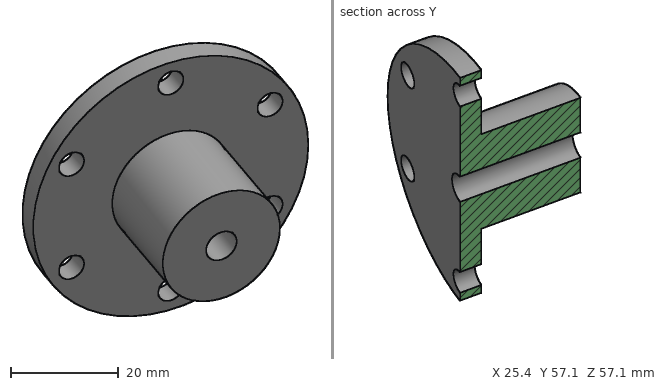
import cadquery as cq

flange_diameter = 57.15
flange_thickness = 4.5
hub_diameter = 24.35
total_length = 25.4
bore_diameter = 6.35
bolt_hole_diameter = 5.2
bolt_circle_diameter = 47.6
bolt_hole_count = 6

flange = cq.Workplane("YZ").circle(flange_diameter / 2).extrude(flange_thickness)

hub = cq.Workplane("YZ").circle(hub_diameter / 2).extrude(total_length)

bore = cq.Workplane("YZ").circle(bore_diameter / 2).extrude(total_length)

bolt_holes = (
    cq.Workplane("YZ")
    .polarArray(bolt_circle_diameter / 2, 90, 360, bolt_hole_count)
    .circle(bolt_hole_diameter / 2)
    .extrude(flange_thickness)
)

result = flange.union(hub).cut(bore).cut(bolt_holes)